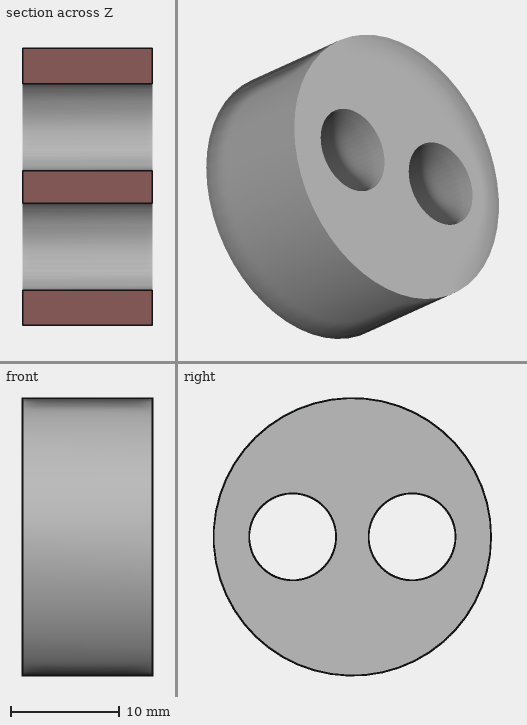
import cadquery as cq

disc_diameter = 25.6
disc_thickness = 12.0
hole_diameter = 8.0
hole_spacing = 11.0

disc = cq.Workplane("YZ").circle(disc_diameter / 2).extrude(disc_thickness)

hole_centres = [(-hole_spacing / 2, 0), (hole_spacing / 2, 0)]
holes = (
    cq.Workplane("YZ")
    .pushPoints(hole_centres)
    .circle(hole_diameter / 2)
    .extrude(disc_thickness)
)

result = disc.cut(holes)